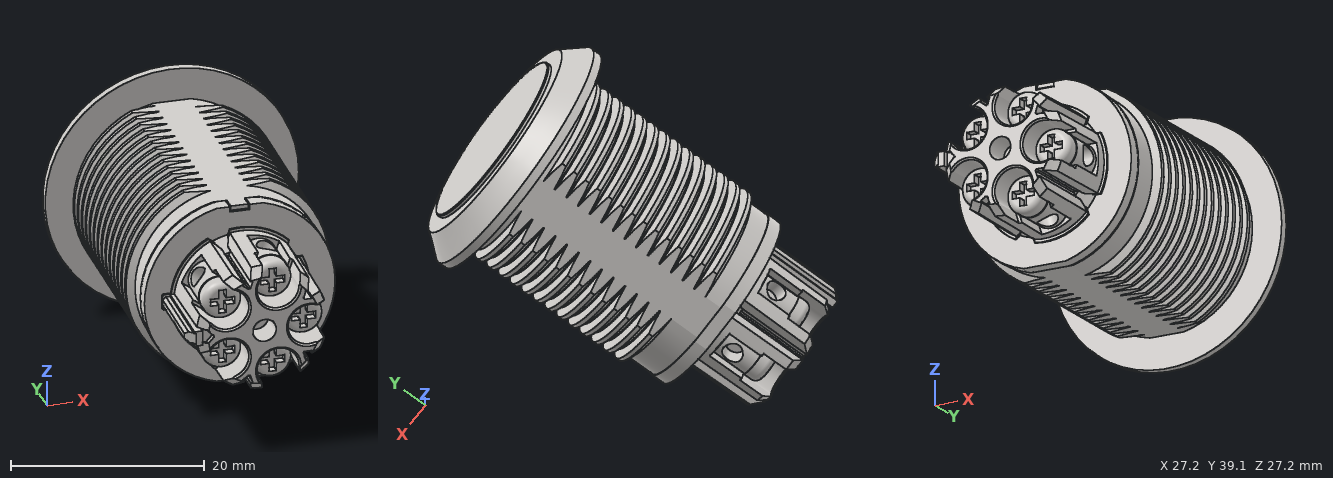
import cadquery as cq
import math


flange_radius = 13.625
flange_top_radius = 11.55
flange_rim = 1.0
flange_height = 3.55
disc_radius = 9.7
disc_height = 0.45
disc_chamfer = 0.12

core_radius = 10.15
ring_radius = 10.25
ring_length = 1.55
barrel_length = 25.65
barrel_end = -barrel_length
flat_distance = 9.95
ring_flat_distance = 9.94

thread_radius = 11.0
thread_pitch = 1.5
thread_turns = 13.5
thread_start = -1.17
thread_start_angle = 8
thread_base_width = 1.47
thread_crest_width = 0.5
thread_embed = 0.06

notch_width = 2.15
notch_depth = 0.6
key_gap = 0.12

insert_length = 9.4
insert_end = barrel_end - insert_length
insert_base_radius = 7.15
insert_tip_radius = 7.03
tip_chamfer = 1.0
hub_radius = 5.25
arm_half_width = 3.25
arm_root_half_width = 3.0
arm_root_reach = 5.05
collar_radius = 7.48
collar_thickness = 0.2
collar_margin = 0.08
wedge_radius = 6.9
wedge_tip_radius = 5.55
wedge_height = 1.25
web_width = 5.0
centre_hole_radius = 1.25
centre_hole_depth = 3.0

terminal_count = 5
terminal_step = 360 / terminal_count
terminal_circle = 4.82
window_start = 1.37
pocket_start = 5.5
window_half_width = 1.8
pocket_half_width = 2.15
pocket_radius = 2.25
pocket_chamfer = 0.2
post_radius = 2.03
head_radius = 2.1
head_end = 7.23
head_fillet = 0.75
wire_hole_radius = 1.1
wire_hole_position = 3.0
cross_length = 2.6
cross_width = 0.78
cross_depth = 0.9

rib_outer = 8.35
rib_inner = 6.65
rib_half_width = 0.6
rib_foot_outer = 7.55
rib_foot_half_width = 0.82
rib_collar_outer = 8.4
rib_collar_half_width = 0.88
rib_collar_chamfer = 0.2
rib_crest_half_width = 0.3
rib_crest_height = 0.36
rib_tip_chamfer = 1.0
recess_half_width = 0.75
recess_apex = 5.4
recess_neck = 6.1
recess_depth = 0.6

overlap = 0.2
outward_reach = collar_radius + 1


def below(depth):
    """XZ workplane at a given depth below the barrel end face, extruding towards -Y."""
    plane = cq.Plane(origin=(0, barrel_end - depth, 0), xDir=(1, 0, 0), normal=(0, -1, 0))
    return cq.Workplane(plane)


def revolve_about_y(points):
    """Solid of revolution about Y from (radius, y) points."""
    return cq.Workplane("XY").polyline(points).close().revolve(360, (0, 0, 0), (0, 1, 0))


def at_terminal(shape, index):
    """Turn a shape built on the +X terminal to terminal number index."""
    return shape.rotate((0, 0, 0), (0, 1, 0), index * terminal_step)


def radial_bar(depth, length, start, reach, half_width):
    """Bar along X from start to reach, beginning at a given depth below the barrel end."""
    centre = (start + reach) / 2
    return below(depth).center(centre, 0).rect(reach - start, 2 * half_width).extrude(length)


def make_flange():
    disc_top = flange_height + disc_height
    return revolve_about_y([
        (0, 0),
        (flange_radius, 0),
        (flange_radius, flange_rim),
        (flange_top_radius, flange_height),
        (disc_radius, flange_height),
        (disc_radius, disc_top - disc_chamfer),
        (disc_radius - disc_chamfer, disc_top),
        (0, disc_top),
    ])


def make_thread():
    """Right-handed external thread starting within the +Z flat and running towards -Y."""
    height = thread_turns * thread_pitch
    helix = cq.Wire.makeHelix(thread_pitch, height, core_radius)
    inner = core_radius - thread_embed
    profile = cq.Workplane("XZ").polyline([
        (inner, -thread_base_width / 2),
        (thread_radius, -thread_crest_width / 2),
        (thread_radius, thread_crest_width / 2),
        (inner, thread_base_width / 2),
    ]).close()
    ridge = profile.sweep(cq.Workplane(obj=helix), isFrenet=True)
    ridge = ridge.rotate((0, 0, 0), (1, 0, 0), 90)
    return ridge.rotate((0, 0, 0), (0, 1, 0), thread_start_angle - 90).translate((0, thread_start, 0))


def flats_block(distance):
    """Block, longer than the barrel, between the two flats that face +Z and -Z."""
    return cq.Workplane("XY").box(2 * flange_radius, 3 * barrel_length, 2 * distance)


def make_barrel():
    core_length = barrel_length - ring_length
    core = cq.Workplane("XZ").circle(core_radius).extrude(core_length)
    threaded = core.union(make_thread()).intersect(flats_block(flat_distance))

    ring = cq.Workplane("XZ", origin=(0, -core_length, 0)).circle(ring_radius).extrude(ring_length)
    ring = ring.intersect(flats_block(ring_flat_distance))
    notch = cq.Workplane("XY").box(notch_width, ring_length, 2 * notch_depth)
    ring = ring.cut(notch.translate((0, -core_length - ring_length / 2, flat_distance)))

    key_length = ring_length - key_gap
    key_depth = notch_depth - key_gap
    key = cq.Workplane("XY").box(notch_width - 2 * key_gap, key_length, key_depth)
    key = key.translate((0, -core_length - key_length / 2, flat_distance - key_depth / 2))
    return threaded.union(ring).union(key)


def make_insert_body():
    """Five parallel-sided arms around a hub, trimmed to a tapered, chamfered envelope."""
    envelope = revolve_about_y([
        (0, barrel_end),
        (insert_base_radius, barrel_end),
        (insert_tip_radius, insert_end + tip_chamfer),
        (insert_tip_radius - tip_chamfer, insert_end),
        (0, insert_end),
    ])
    collar = below(0).circle(collar_radius).extrude(collar_thickness)
    frame = below(0).circle(hub_radius).extrude(insert_length)
    collar_arms = below(0).circle(hub_radius).extrude(collar_thickness)
    for index in range(terminal_count):
        root = radial_bar(0, insert_length, 0, arm_root_reach + overlap, arm_root_half_width)
        arm = radial_bar(0, insert_length, arm_root_reach, outward_reach, arm_half_width)
        frame = frame.union(at_terminal(root.union(arm), index))
        foot = radial_bar(0, collar_thickness, 0, outward_reach, arm_half_width + collar_margin)
        collar_arms = collar_arms.union(at_terminal(foot, index))
    web = radial_bar(0, insert_length, -outward_reach, 0, web_width / 2)
    frame = frame.union(web).intersect(envelope)
    collar_arms = collar_arms.union(web.intersect(collar)).intersect(collar)
    wedge = revolve_about_y([
        (0, barrel_end),
        (wedge_radius, barrel_end),
        (wedge_tip_radius, barrel_end - wedge_height),
        (0, barrel_end - wedge_height),
    ])
    hole = below(insert_length - centre_hole_depth).circle(centre_hole_radius).extrude(centre_hole_depth)
    return frame.union(collar_arms).union(wedge).cut(hole)


def make_terminal_cavity():
    """Window for the terminal post and wider pocket for the screw head, both open outwards."""
    window_length = pocket_start - window_start + overlap
    pocket_length = insert_length - pocket_start
    window = below(window_start).center(terminal_circle, 0).circle(window_half_width).extrude(window_length)
    window = window.union(
        radial_bar(window_start, window_length, terminal_circle, outward_reach, window_half_width)
    )
    pocket = below(pocket_start).center(terminal_circle, 0).circle(pocket_radius).extrude(pocket_length)
    pocket = pocket.union(
        radial_bar(pocket_start, pocket_length, terminal_circle, outward_reach, pocket_half_width)
    )
    rim = below(insert_length - pocket_chamfer).center(terminal_circle, 0).circle(pocket_radius)
    rim = rim.workplane(offset=pocket_chamfer).circle(pocket_radius + pocket_chamfer).loft()
    return window.union(pocket).union(rim)


def make_terminal():
    """Post with a radial wire hole and a rounded screw head."""
    post_length = pocket_start - window_start + 2 * overlap
    post = below(window_start - overlap).center(terminal_circle, 0).circle(post_radius).extrude(post_length)
    head = below(pocket_start).center(terminal_circle, 0).circle(head_radius).extrude(head_end - pocket_start)
    head = head.faces("<Y").edges().fillet(head_fillet)
    wire_hole = cq.Workplane("YZ", origin=(terminal_circle, barrel_end - wire_hole_position, 0))
    wire_hole = wire_hole.circle(wire_hole_radius).extrude(2 * post_radius)
    return post.union(head).cut(wire_hole)


def make_cross(index):
    """Driver recess of one screw; all the recesses are aligned with X and Z."""
    angle = math.radians(index * terminal_step)
    recess = below(head_end - cross_depth)
    recess = recess.center(terminal_circle * math.cos(angle), -terminal_circle * math.sin(angle))
    bar = recess.rect(cross_length, cross_width).extrude(cross_depth)
    return bar.union(recess.rect(cross_width, cross_length).extrude(cross_depth))


def make_rib():
    """Stepped rib with a bevelled crest, a bevelled tip and a small collar at its base."""
    shoulder = rib_outer - rib_crest_height
    rib = below(0).polyline([
        (-rib_foot_outer, -rib_half_width),
        (-shoulder, -rib_half_width),
        (-rib_outer, -rib_crest_half_width),
        (-rib_outer, rib_crest_half_width),
        (-shoulder, rib_half_width),
        (-rib_foot_outer, rib_half_width),
    ]).close().extrude(insert_length)
    foot = radial_bar(0, insert_length, -rib_foot_outer, -rib_inner, rib_foot_half_width)
    collar = radial_bar(0, collar_thickness, -rib_collar_outer, -rib_inner, rib_collar_half_width)
    collar = collar.edges("|Y and <X").chamfer(rib_collar_chamfer)
    tip_cut = cq.Workplane("XY").polyline([
        (-rib_outer, insert_end + rib_tip_chamfer),
        (-rib_outer, insert_end),
        (-rib_outer + rib_tip_chamfer, insert_end),
    ]).close().extrude(rib_half_width, both=True)
    return rib.union(foot).cut(tip_cut).union(collar)


def make_rib_recess():
    """Arrow-shaped recess in the insert tip, pointing inwards from the rib."""
    return below(insert_length - recess_depth).polyline([
        (-rib_inner, -recess_half_width),
        (-recess_neck, -recess_half_width),
        (-recess_apex, 0),
        (-recess_neck, recess_half_width),
        (-rib_inner, recess_half_width),
    ]).close().extrude(recess_depth)


def make_insert():
    insert = make_insert_body()
    cavity = make_terminal_cavity()
    terminal = make_terminal()
    for index in range(terminal_count):
        insert = insert.cut(at_terminal(cavity, index))
    for index in range(terminal_count):
        insert = insert.union(at_terminal(terminal, index)).cut(make_cross(index))
    return insert.union(make_rib()).cut(make_rib_recess())


result = make_flange().union(make_barrel()).union(make_insert())